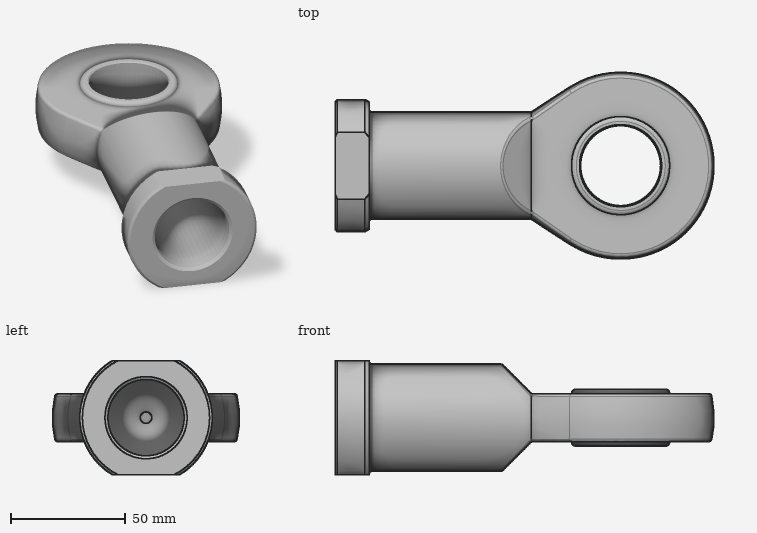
import cadquery as cq
import math


eye_radius = 41.0
eye_thickness = 21.0
edge_fillet = 1.5

ring_diameter = 43.0
ring_width = 25.0
ring_bore = 35.0
ring_bore_chamfer = 0.5

shank_length = 125.0
shank_radius = 23.5
shank_end_x = -39.0
collar_radius = 29.0
collar_length = 15.0
collar_flats = 50.0
collar_chamfer_depth = 1.15
front_chamfer_length = 1.0
rear_chamfer_length = 2.0
collar_fillet = 1.0

bore_diameter = 33.4
bore_mouth_diameter = 36.0
bore_depth = 60.0
bore_tip_diameter = 5.0
bore_tip_angle = 120.0

collar_face_x = -shank_length
collar_back_x = collar_face_x + collar_length
half_thickness = eye_thickness / 2
ring_fillet = (ring_width - eye_thickness) / 2

shank_end_angle = math.atan2(shank_radius, shank_end_x)
shank_end_distance = math.hypot(shank_end_x, shank_radius)
tangent_angle = shank_end_angle - math.acos(eye_radius / shank_end_distance)
neck_end_x = eye_radius * math.cos(tangent_angle)
neck_end_radius = eye_radius * math.sin(tangent_angle)


def make_shank():
    """Collar, shank and conical neck as one turned body about X."""
    chamfered_radius = collar_radius - collar_chamfer_depth
    fillet_middle = collar_fillet * (1 - math.sqrt(0.5))
    return (
        cq.Workplane("XY")
        .moveTo(collar_face_x, 0)
        .lineTo(collar_face_x, chamfered_radius)
        .lineTo(collar_face_x + front_chamfer_length, collar_radius)
        .lineTo(collar_back_x - rear_chamfer_length, collar_radius)
        .lineTo(collar_back_x, chamfered_radius)
        .lineTo(collar_back_x, shank_radius + collar_fillet)
        .threePointArc(
            (collar_back_x + fillet_middle, shank_radius + fillet_middle),
            (collar_back_x + collar_fillet, shank_radius),
        )
        .lineTo(shank_end_x, shank_radius)
        .lineTo(neck_end_x, neck_end_radius)
        .lineTo(neck_end_x, 0)
        .close()
        .revolve(360, (0, 0, 0), (1, 0, 0))
    )


def trim_to_eye_thickness(shank):
    """Cut the neck flat above and below, with 45 degree run-outs into the shank."""
    slope_run = eye_radius - half_thickness
    for side in (1, -1):
        trim = (
            cq.Workplane("XZ")
            .moveTo(shank_end_x, side * half_thickness)
            .lineTo(eye_radius, side * half_thickness)
            .lineTo(eye_radius, side * eye_radius)
            .lineTo(shank_end_x - slope_run, side * eye_radius)
            .close()
            .extrude(eye_radius, both=True)
        )
        shank = shank.cut(trim)
    return shank


def make_eye():
    """Slice of a sphere between the two eye faces, ending where the neck meets it."""
    face_radius = math.sqrt(eye_radius**2 - half_thickness**2)
    sphere_slice = (
        cq.Workplane("XZ")
        .moveTo(0, -half_thickness)
        .lineTo(-face_radius, -half_thickness)
        .threePointArc((-eye_radius, 0), (-face_radius, half_thickness))
        .lineTo(0, half_thickness)
        .close()
        .revolve(360, (0, 0, 0), (0, 1, 0))
    )
    beyond_neck = (
        cq.Workplane("XY")
        .box(2 * eye_radius, 2 * eye_radius, eye_thickness, centered=(False, True, True))
        .translate((neck_end_x, 0, 0))
    )
    return sphere_slice.intersect(beyond_neck)


def round_rims(body):
    """Round the rims of the flats and run-outs; the straight creases between them stay sharp."""
    neck_rims = body.edges("%HYPERBOLA").vals()
    run_out_rims = body.edges("%ELLIPSE").vals()
    return cq.Workplane(body.findSolid().fillet(edge_fillet, neck_rims + run_out_rims))


def cut_collar_flats(body):
    """Trim the collar to its two parallel flats."""
    flat_depth = collar_radius - collar_flats / 2
    for side in (1, -1):
        trim = (
            cq.Workplane("XY")
            .box(collar_length, 2 * collar_radius, flat_depth, centered=(False, True, True))
            .translate((collar_face_x, 0, side * (collar_flats + flat_depth) / 2))
        )
        body = body.cut(trim)
    return body


def make_ring():
    """Inner ring of the bearing, standing proud of both eye faces with a full-height rounding."""
    ring_radius = ring_diameter / 2
    half_width = ring_width / 2
    flat_radius = ring_radius - ring_fillet
    return (
        cq.Workplane("XZ")
        .moveTo(0, -half_width)
        .lineTo(flat_radius, -half_width)
        .tangentArcPoint((ring_radius, -half_thickness), relative=False)
        .lineTo(ring_radius, half_thickness)
        .tangentArcPoint((flat_radius, half_width), relative=False)
        .lineTo(0, half_width)
        .close()
        .revolve(360, (0, 0, 0), (0, 1, 0))
    )


def make_ring_bore():
    """Through bore of the ring with a chamfer at each mouth."""
    bore_radius = ring_bore / 2
    mouth_radius = bore_radius + ring_bore_chamfer
    half_width = ring_width / 2
    chamfer_z = half_width - ring_bore_chamfer
    return (
        cq.Workplane("XZ")
        .polyline([
            (0, -half_width),
            (mouth_radius, -half_width),
            (bore_radius, -chamfer_z),
            (bore_radius, chamfer_z),
            (mouth_radius, half_width),
            (0, half_width),
        ])
        .close()
        .revolve(360, (0, 0, 0), (0, 1, 0))
    )


def make_shank_bore():
    """Blind bore with a chamfered mouth and a conical end."""
    bore_radius = bore_diameter / 2
    mouth_radius = bore_mouth_diameter / 2
    tip_radius = bore_tip_diameter / 2
    mouth_chamfer = mouth_radius - bore_radius
    bore_end_x = collar_face_x + bore_depth
    tip_length = (bore_radius - tip_radius) / math.tan(math.radians(bore_tip_angle / 2))
    return (
        cq.Workplane("XY")
        .polyline([
            (collar_face_x, 0),
            (collar_face_x, mouth_radius),
            (collar_face_x + mouth_chamfer, bore_radius),
            (bore_end_x, bore_radius),
            (bore_end_x + tip_length, tip_radius),
            (bore_end_x + tip_length, 0),
        ])
        .close()
        .revolve(360, (0, 0, 0), (1, 0, 0))
    )


body = trim_to_eye_thickness(make_shank()).union(make_eye())
body = cut_collar_flats(round_rims(body))
result = body.union(make_ring()).cut(make_ring_bore()).cut(make_shank_bore())